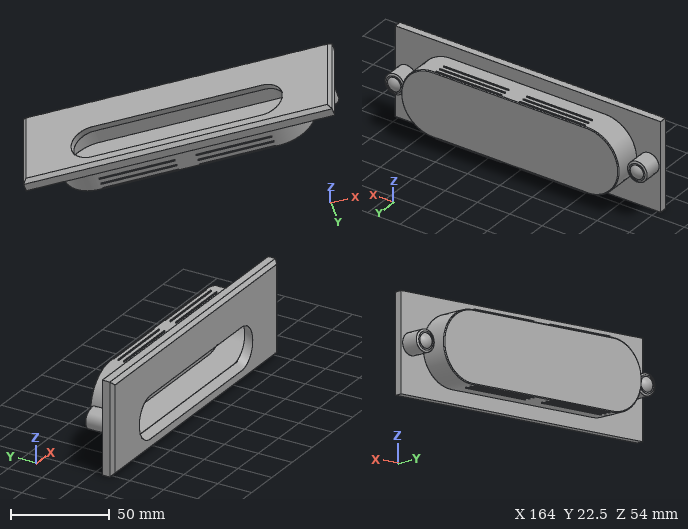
import cadquery as cq
import math

LENGTH = 164.0
HEIGHT = 54.0
TOTAL_DEPTH = 22.5

PLATE_THICKNESS = 6.4
PLATE_CHAMFER = 2.0
POCKET_DEPTH = 1.6

OPENING_STRAIGHT = 90.2
OPENING_RADIUS = 11.0
OPENING_TILT = 27.0
OPENING_CENTRE_Z = -8.2

CUP_RADIUS = 19.5
CUP_STRAIGHT = 95.3
CUP_WALL = 1.3
CUP_BACK_CHAMFER = 0.5

RIB_WIDTH = 0.5
RIB_HEIGHT = 0.5
RIB_LENGTH = 40.3
RIB_INNER_END = 5.5
RIB_SETBACKS = (0.8, 4.0, 7.2)

BOSS_SPACING = 149.9
BOSS_RADIUS = 6.0
BOSS_END_Y = 17.4
BOSS_CHAMFER_RADIAL = 1.1
BOSS_CHAMFER_AXIAL = 0.5
PIN_RADIUS = 4.1
PIN_DOME_HEIGHT = 2.0

FRONT_WALL = PLATE_THICKNESS - POCKET_DEPTH


def y_plane(y):
    """Sketch plane facing the front, so that extruding by a negative length goes backwards."""
    return cq.Workplane("XZ", origin=(0, y, 0))


def slot_prism(straight, radius, y_front, y_back):
    """Round-ended bar, long in X, between two depths."""
    return y_plane(y_front).slot2D(straight + 2 * radius, 2 * radius).extrude(y_front - y_back)


def finger_opening():
    """Slanted round-ended cutter, centred on OPENING_CENTRE_Z at the front face."""
    overrun = HEIGHT
    cutter = slot_prism(OPENING_STRAIGHT, OPENING_RADIUS, -overrun, overrun)
    return cutter.rotate((0, 0, 0), (1, 0, 0), OPENING_TILT).translate((0, 0, OPENING_CENTRE_Z))


def make_plate():
    plate = y_plane(0).rect(LENGTH, HEIGHT).extrude(-PLATE_THICKNESS)
    plate = plate.faces("<Y").chamfer(PLATE_CHAMFER)
    pocket = slot_prism(CUP_STRAIGHT, CUP_RADIUS, FRONT_WALL, PLATE_THICKNESS)
    return plate.cut(finger_opening()).cut(pocket)


def make_cup():
    cup = slot_prism(CUP_STRAIGHT, CUP_RADIUS, FRONT_WALL, TOTAL_DEPTH)
    cup = cup.faces(">Y").chamfer(CUP_BACK_CHAMFER)
    hollow = slot_prism(CUP_STRAIGHT, CUP_RADIUS - CUP_WALL, FRONT_WALL, TOTAL_DEPTH - CUP_WALL)
    cup = cup.cut(hollow)

    rib_x = RIB_INNER_END + RIB_LENGTH / 2
    for setback in RIB_SETBACKS:
        for x in (-rib_x, rib_x):
            for z in (-CUP_RADIUS, CUP_RADIUS):
                rib = cq.Workplane().box(RIB_LENGTH, RIB_WIDTH, 2 * RIB_HEIGHT)
                cup = cup.union(rib.translate((x, TOTAL_DEPTH - setback, z)))
    return cup


def make_boss(x):
    """Chamfered sleeve standing on the back of the plate, bored through for its pin."""
    profile = (
        cq.Workplane("XY", origin=(x, 0, 0))
        .moveTo(-PIN_RADIUS, PLATE_THICKNESS)
        .lineTo(-BOSS_RADIUS, PLATE_THICKNESS)
        .lineTo(-BOSS_RADIUS, BOSS_END_Y - BOSS_CHAMFER_AXIAL)
        .lineTo(-BOSS_RADIUS + BOSS_CHAMFER_RADIAL, BOSS_END_Y)
        .lineTo(-PIN_RADIUS, BOSS_END_Y)
        .close()
    )
    return profile.revolve(360, (0, 0, 0), (0, 1, 0))


def make_pin(x):
    """Round pin filling the bore of its boss, with a domed end standing out of it."""
    dome_radius = (PIN_RADIUS**2 + PIN_DOME_HEIGHT**2) / (2 * PIN_DOME_HEIGHT)
    half_angle = math.asin(PIN_RADIUS / dome_radius) / 2
    dome_tip_y = BOSS_END_Y + PIN_DOME_HEIGHT
    dome_centre_y = dome_tip_y - dome_radius
    dome_middle = (
        -dome_radius * math.sin(half_angle),
        dome_centre_y + dome_radius * math.cos(half_angle),
    )
    profile = (
        cq.Workplane("XY", origin=(x, 0, 0))
        .moveTo(0, PLATE_THICKNESS)
        .lineTo(-PIN_RADIUS, PLATE_THICKNESS)
        .lineTo(-PIN_RADIUS, BOSS_END_Y)
        .threePointArc(dome_middle, (0, dome_tip_y))
        .close()
    )
    return profile.revolve(360, (0, 0, 0), (0, 1, 0))


plate = make_plate()
cup = make_cup()
boss_places = [side * BOSS_SPACING / 2 for side in (-1, 1)]
bosses = [make_boss(x).val() for x in boss_places]
pins = [make_pin(x).val() for x in boss_places]

result = cq.Compound.makeCompound([plate.val(), cup.val(), *bosses, *pins])